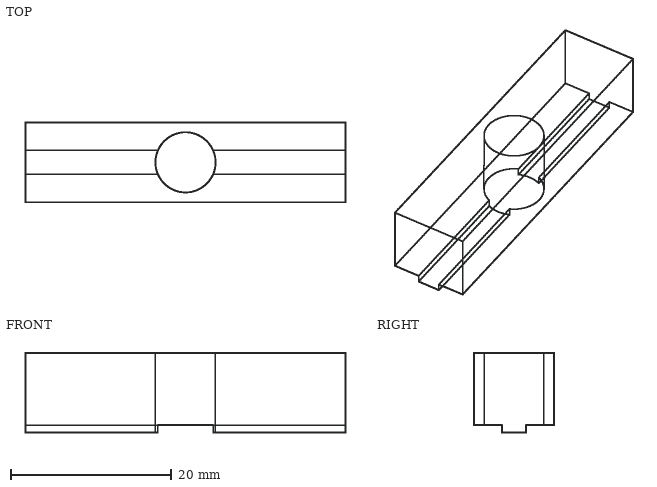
import cadquery as cq

length = 40.0
width = 10.0
total_height = 9.95
rib_height = 0.95
rib_width = 3.0
hole_diameter = 0.75 * width

body_height = total_height - rib_height

block = cq.Workplane("XY").box(length, width, body_height, centered=(True, True, False))

ribbed_block = block.faces("<Z").workplane().rect(length, rib_width).extrude(rib_height)

result = ribbed_block.faces(">Z").workplane(origin=(0, 0, 0)).hole(hole_diameter)